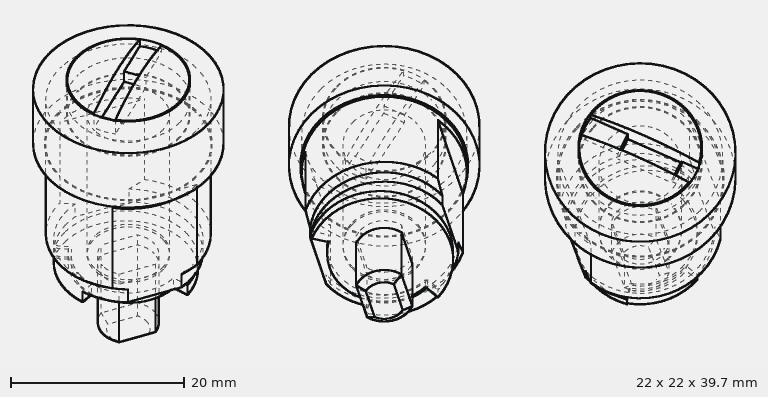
import cadquery as cq
import math

top_z = 39.75
dome_edge_z = 37.35
housing_top_z = 35.75
head_floor_z = 33.37
cap_bottom_z = 28.9
collar_bottom_z = 28.75
flat_top_z = 27.35
taper_top_z = 14.8
taper_bottom_z = 14.0
housing_bottom_z = 12.0
cam_top_z = 11.6
tab_bottom_z = 10.35
cam_bottom_z = 10.05

cap_radius = 11.0
collar_radius = 9.7

housing_radius = 9.55
nose_radius = 8.62
tab_inner_radius = 6.95
tab_angle = 60.0
tab_start_angle = 240.0
flat_half_width = 7.95

head_radius = 7.05
head_clearance = 0.1
shaft_radius = 4.75
spindle_radius = 3.55
spindle_flat_width = 5.45
spindle_chamfer = 1.05
slot_width = 2.7
slot_offset = -0.08
slot_step_depth = 2.0
slot_floor_depth = 3.18
slot_angle = -45.0
recess_start = -2.2
recess_end = 4.55
recess_slope = 0.25
recess_depth = 0.4

cam_rim_radius = 8.42
cam_offset = 0.68
cam_hub_radius = 6.6
cam_travel = 90.0

head_bore_radius = head_radius + head_clearance
dome_rise = top_z - dome_edge_z
dome_radius = (cap_radius**2 + dome_rise**2) / (2 * dome_rise)


def dome_z(radius):
    """Height of the spherical dome at a distance from the axis."""
    return top_z - dome_radius + math.sqrt(dome_radius**2 - radius**2)


def cylinder(radius, bottom, top):
    return cq.Workplane("XY").workplane(offset=bottom).circle(radius).extrude(top - bottom)


def sector(start_angle, sweep, inner, outer, bottom, top):
    """Ring segment between two radii, starting at an angle from +X."""
    def polar(radius, angle):
        turn = math.radians(angle)
        return (radius * math.cos(turn), radius * math.sin(turn))

    middle = start_angle + sweep / 2
    end = start_angle + sweep
    return (
        cq.Workplane("XY")
        .workplane(offset=bottom)
        .moveTo(*polar(inner, start_angle))
        .lineTo(*polar(outer, start_angle))
        .threePointArc(polar(outer, middle), polar(outer, end))
        .lineTo(*polar(inner, end))
        .threePointArc(polar(inner, middle), polar(inner, start_angle))
        .close()
        .extrude(top - bottom)
    )


def make_cap():
    """Domed cap with a round opening for the head and a bore for the housing."""
    middle_radius = (head_bore_radius + cap_radius) / 2
    return (
        cq.Workplane("XZ")
        .moveTo(head_bore_radius, housing_top_z)
        .lineTo(head_bore_radius, dome_z(head_bore_radius))
        .threePointArc((middle_radius, dome_z(middle_radius)), (cap_radius, dome_edge_z))
        .lineTo(cap_radius, cap_bottom_z)
        .lineTo(collar_radius, cap_bottom_z)
        .lineTo(collar_radius, collar_bottom_z)
        .lineTo(housing_radius, collar_bottom_z)
        .lineTo(housing_radius, housing_top_z)
        .close()
        .revolve(360, (0, 0), (0, 1))
    )


def make_housing():
    """Bored barrel with a tapered nose, a flat on each side and a stop tab below."""
    barrel = (
        cq.Workplane("XZ")
        .moveTo(head_bore_radius, housing_top_z)
        .lineTo(housing_radius, housing_top_z)
        .lineTo(housing_radius, taper_top_z)
        .lineTo(nose_radius, taper_bottom_z)
        .lineTo(nose_radius, housing_bottom_z)
        .lineTo(shaft_radius, housing_bottom_z)
        .lineTo(shaft_radius, head_floor_z)
        .lineTo(head_bore_radius, head_floor_z)
        .close()
        .revolve(360, (0, 0), (0, 1))
    )
    tab = sector(
        tab_start_angle, tab_angle, tab_inner_radius, nose_radius, tab_bottom_z, housing_bottom_z
    )
    flat_zone = (
        cq.Workplane("XY")
        .workplane(offset=tab_bottom_z)
        .rect(2 * flat_half_width, 2 * cap_radius)
        .extrude(flat_top_z - tab_bottom_z)
        .union(cylinder(cap_radius, flat_top_z, housing_top_z))
    )
    return barrel.union(tab).intersect(flat_zone)


def make_spindle():
    """Round bar with two flats, chamfered all around its tip."""
    bar = cylinder(spindle_radius, 0, cam_top_z).faces("<Z").chamfer(spindle_chamfer)
    flats = (
        cq.Workplane("XY")
        .rect(spindle_flat_width, 2 * cap_radius)
        .extrude(cam_top_z)
        .faces("<Z")
        .edges("|Y")
        .chamfer(spindle_chamfer)
    )
    return bar.intersect(flats)


def make_slot():
    """Driver slot: a high step at one end, then a recess sloping up to the main floor."""
    step_z = top_z - slot_step_depth
    floor_z = top_z - slot_floor_depth
    recess_z = floor_z - recess_depth
    return (
        cq.Workplane("XZ", origin=(0, slot_offset, 0))
        .moveTo(-cap_radius, top_z)
        .lineTo(-cap_radius, step_z)
        .lineTo(recess_start, step_z)
        .lineTo(recess_start, recess_z)
        .lineTo(recess_end, recess_z)
        .lineTo(recess_end + recess_slope, floor_z)
        .lineTo(cap_radius, floor_z)
        .lineTo(cap_radius, top_z)
        .close()
        .extrude(slot_width / 2, both=True)
        .rotate((0, 0, 0), (0, 0, 1), slot_angle)
    )


def make_rotor():
    """Domed, slotted head on a shaft that ends in the spindle."""
    head_and_shaft = (
        cq.Workplane("XZ")
        .moveTo(0, top_z)
        .threePointArc(
            (head_radius / 2, dome_z(head_radius / 2)), (head_radius, dome_z(head_radius))
        )
        .lineTo(head_radius, head_floor_z)
        .lineTo(shaft_radius, head_floor_z)
        .lineTo(shaft_radius, cam_top_z)
        .lineTo(0, cam_top_z)
        .close()
        .revolve(360, (0, 0), (0, 1))
    )
    return head_and_shaft.union(make_spindle()).cut(make_slot())


def make_cam():
    """Eccentric disc with a window for the tab, fitted on the flats of the spindle."""
    rim = cylinder(cam_rim_radius, cam_bottom_z, cam_top_z).translate((cam_offset, -cam_offset, 0))
    window = sector(
        tab_start_angle,
        tab_angle + cam_travel,
        cam_hub_radius,
        2 * cam_rim_radius,
        cam_bottom_z,
        cam_top_z,
    )
    return rim.cut(window).cut(make_spindle())


cap = make_cap()
housing = make_housing()
rotor = make_rotor()
cam = make_cam()

result = cq.Compound.makeCompound([cap.val(), housing.val(), rotor.val(), cam.val()])